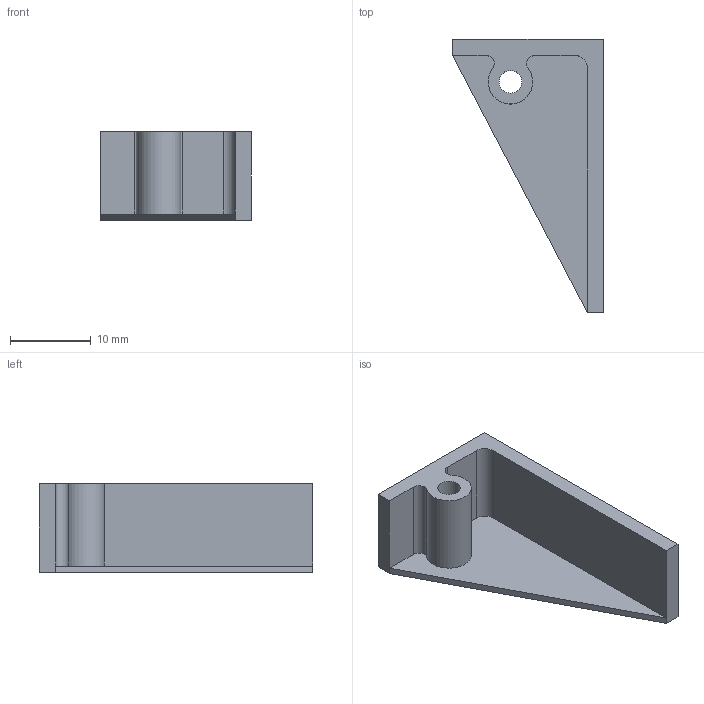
import cadquery as cq
import math

length_x = 18.66
length_y = 33.78
height = 11.0

wall = 2.0
floor_thickness = 0.8
corner_radius = 1.5

boss_x = -11.5
boss_y = -5.25
boss_radius = 2.75
hole_diameter = 2.8
blend_radius = 1.0

blend_y = -wall - blend_radius
center_distance = boss_radius + blend_radius
blend_offset = math.sqrt(center_distance**2 - (blend_y - boss_y)**2)
blend_angle = math.atan2(blend_y - boss_y, blend_offset)


def boss_tangent_point(side):
    """Point where the boss meets the blend; side is 1 for +X, -1 for -X."""
    return (
        boss_x + side * boss_radius * math.cos(blend_angle),
        boss_y + boss_radius * math.sin(blend_angle),
    )


def blend_wall_point(side):
    """Point where the blend meets the inner face of the short wall."""
    return (boss_x + side * blend_offset, -wall)


def blend_mid_point(side):
    """Middle of the blend arc, which runs from the wall around to the boss."""
    mid_angle = (math.pi / 2 + math.pi + blend_angle) / 2
    return (
        boss_x + side * (blend_offset + blend_radius * math.cos(mid_angle)),
        blend_y + blend_radius * math.sin(mid_angle),
    )


def make_floor():
    """Thin floor closing the angle between the walls with a sloping edge."""
    outline = [
        (0, 0),
        (-length_x, 0),
        (-length_x, -wall),
        (-wall, -length_y),
        (0, -length_y),
    ]
    return cq.Workplane("XY").polyline(outline).close().extrude(floor_thickness)


def make_walls_and_boss():
    """Full-height L-shaped wall with the boss blended into its short leg."""
    corner_mid = wall + corner_radius * (1 - math.sqrt(0.5))
    return (
        cq.Workplane("XY")
        .moveTo(0, 0)
        .lineTo(-length_x, 0)
        .lineTo(-length_x, -wall)
        .lineTo(*blend_wall_point(-1))
        .threePointArc(blend_mid_point(-1), boss_tangent_point(-1))
        .threePointArc((boss_x, boss_y - boss_radius), boss_tangent_point(1))
        .threePointArc(blend_mid_point(1), blend_wall_point(1))
        .lineTo(-wall - corner_radius, -wall)
        .threePointArc((-corner_mid, -corner_mid), (-wall, -wall - corner_radius))
        .lineTo(-wall, -length_y)
        .lineTo(0, -length_y)
        .close()
        .extrude(height)
    )


def make_screw_hole():
    """Cylinder that cuts the hole through the boss and the floor."""
    return (
        cq.Workplane("XY")
        .center(boss_x, boss_y)
        .circle(hole_diameter / 2)
        .extrude(height)
    )


result = make_floor().union(make_walls_and_boss()).cut(make_screw_hole())